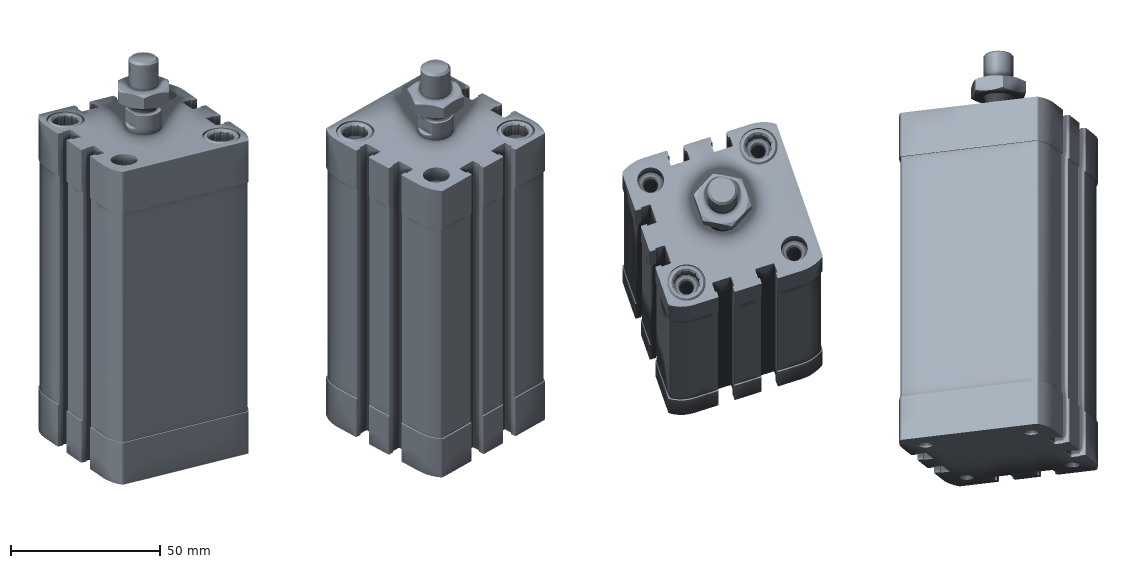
import cadquery as cq
import math

TOTAL_HEIGHT = 140.7
HOUSING_WIDTH = 54.5
HOUSING_HEIGHT = 115.0

CAP_HEIGHT = 15.3
BARREL_INSET = 0.4
CORNER_ARC_RADIUS = 14.0
CORNER_EDGE_FILLET = 1.0
HOLE_OFFSET = 19.0

SLOT_OFFSET = 7.6
SLOT_MOUTH_WIDTH = 5.6
SLOT_INNER_WIDTH = 6.8
SLOT_LIP_DEPTH = 2.1
SLOT_DEPTH = 5.5
SLOT_CORNER_RADIUS = 0.4
SLOT_MOUTH_CHAMFER = 0.21

THROUGH_DIAMETER = 4.9
THREAD_MOUTH_DIAMETER = 6.0
COUNTERBORE_DIAMETER = 9.0
COUNTERBORE_DEPTH = 5.2

COLLAR_DIAMETER = 12.8
COLLAR_CHAMFER = 0.8
SOCKET_DEPTH = 4.8
SOCKET_DIAMETER = 8.6
SOCKET_TIP_DIAMETER = 9.3
SOCKET_MOUTH_DIAMETER = 10.0
SOCKET_SQUARES = 3

ROD_DIAMETER = 12.0
ROD_SHOULDER_HEIGHT = 6.9
ROD_FLATS_WIDTH = 10.0
ROD_FLATS_START = 2.1
ROD_FLATS_RUN_OUT = 0.7
NECK_DIAMETER = 8.2
NECK_FILLET = 0.3
NECK_HEIGHT = 1.3
TAPER_HEIGHT = 2.5
THREAD_DIAMETER = 10.0
THREAD_TIP_DIAMETER = 8.5

NUT_WIDTH = 17.0
NUT_HEIGHT = 5.0
NUT_BASE = HOUSING_HEIGHT + 10.7
NUT_CHAMFER_ANGLE = 25


def block(width, height, base):
    """Square block with shallow arcs at its four upright corners, tangent to the +Y and -Y sides."""
    half = width / 2
    reach = half - HOLE_OFFSET
    arc_centre_y = half - CORNER_ARC_RADIUS
    arc_end_y = arc_centre_y + math.sqrt(CORNER_ARC_RADIUS**2 - reach**2)
    half_turn = math.asin(reach / CORNER_ARC_RADIUS) / 2
    middle_x = HOLE_OFFSET + CORNER_ARC_RADIUS * math.sin(half_turn)
    middle_y = arc_centre_y + CORNER_ARC_RADIUS * math.cos(half_turn)
    return (
        cq.Workplane("XY", origin=(0, 0, base))
        .moveTo(-HOLE_OFFSET, half)
        .lineTo(HOLE_OFFSET, half)
        .threePointArc((middle_x, middle_y), (half, arc_end_y))
        .lineTo(half, -arc_end_y)
        .threePointArc((middle_x, -middle_y), (HOLE_OFFSET, -half))
        .lineTo(-HOLE_OFFSET, -half)
        .threePointArc((-middle_x, -middle_y), (-half, -arc_end_y))
        .lineTo(-half, arc_end_y)
        .threePointArc((-middle_x, middle_y), (-HOLE_OFFSET, half))
        .close()
        .extrude(height)
        .edges("|Z and (<X or >X)")
        .fillet(CORNER_EDGE_FILLET)
    )


def t_slot(offset, side, height, base):
    """Cutter for one T-slot, `offset` along X, whose chamfered mouth opens in the face y = side."""
    floor = HOUSING_WIDTH / 2 - SLOT_DEPTH
    lip = HOUSING_WIDTH / 2 - SLOT_LIP_DEPTH
    mouth = SLOT_MOUTH_WIDTH / 2
    inner = SLOT_INNER_WIDTH / 2
    right_half = [
        (inner, floor),
        (inner, lip),
        (mouth, lip),
        (mouth, side - SLOT_MOUTH_CHAMFER),
        (mouth + SLOT_MOUTH_CHAMFER, side),
    ]
    left_half = [(-x, y) for x, y in reversed(right_half)]
    return (
        cq.Workplane("XY", origin=(offset, 0, base))
        .polyline(right_half + left_half)
        .close()
        .extrude(height)
        .edges("|Z and <Y")
        .fillet(SLOT_CORNER_RADIUS)
    )


def slotted_block(width, height, base):
    """Block with two T-slots in each of its +Y, -X and -Y sides."""
    body = block(width, height, base)
    for side_angle in (0, 90, 180):
        for offset in (-SLOT_OFFSET, SLOT_OFFSET):
            slot = t_slot(offset, width / 2, height, base)
            body = body.cut(slot.rotate((0, 0, 0), (0, 0, 1), side_angle))
    return body


def revolved(points, x=0, y=0):
    """Solid turned about the upright line through (x, y) from (radius, z) points."""
    return (
        cq.Workplane("XZ")
        .polyline(points)
        .close()
        .revolve(360, (0, 0), (0, 1))
        .translate((x, y, 0))
    )


def screw_hole(x, y, floor):
    """Through hole whose mouth, at height `floor`, is countersunk."""
    inner = THROUGH_DIAMETER / 2
    outer = THREAD_MOUTH_DIAMETER / 2
    points = [(0, 0), (inner, 0), (inner, floor - outer + inner), (outer, floor), (0, floor)]
    return revolved(points, x, y)


def counterbore(x, y):
    return (
        cq.Workplane("XY", origin=(x, y, HOUSING_HEIGHT - COUNTERBORE_DEPTH))
        .circle(COUNTERBORE_DIAMETER / 2)
        .extrude(COUNTERBORE_DEPTH)
    )


def collar_groove(x, y):
    """V-groove with a straight outer wall, which leaves a chamfered collar round a socket."""
    radius = COLLAR_DIAMETER / 2
    top = HOUSING_HEIGHT
    points = [(radius - COLLAR_CHAMFER, top), (radius, top), (radius, top - COLLAR_CHAMFER)]
    return revolved(points, x, y)


def serrated_socket(x, y):
    """Twelve-point socket: a round bore, three squares turned 30 degrees apart and a conical mouth."""
    top = HOUSING_HEIGHT
    bore = SOCKET_DIAMETER / 2
    mouth = SOCKET_MOUTH_DIAMETER / 2
    cone_end = top - (mouth - bore)
    floor = top - SOCKET_DEPTH
    socket = revolved([(0, floor), (bore, floor), (bore, cone_end), (mouth, top), (0, top)], x, y)
    square_side = SOCKET_TIP_DIAMETER / math.sqrt(2)
    for i in range(SOCKET_SQUARES):
        square = (
            cq.Workplane("XY", origin=(x, y, floor))
            .transformed(rotate=(0, 0, 45 + i * 90 / SOCKET_SQUARES))
            .rect(square_side, square_side)
            .extrude(SOCKET_DEPTH)
        )
        socket = socket.union(square)
    return socket


def build_housing():
    barrel_height = HOUSING_HEIGHT - 2 * CAP_HEIGHT
    body = (
        slotted_block(HOUSING_WIDTH, CAP_HEIGHT, 0)
        .union(slotted_block(HOUSING_WIDTH - 2 * BARREL_INSET, barrel_height, CAP_HEIGHT))
        .union(slotted_block(HOUSING_WIDTH, CAP_HEIGHT, HOUSING_HEIGHT - CAP_HEIGHT))
    )
    for sign in (-1, 1):
        x = sign * HOLE_OFFSET
        body = body.cut(counterbore(x, -x))
        body = body.cut(screw_hole(x, -x, HOUSING_HEIGHT - COUNTERBORE_DEPTH))
        body = body.cut(collar_groove(x, x))
        body = body.cut(serrated_socket(x, x))
        body = body.cut(screw_hole(x, x, HOUSING_HEIGHT - SOCKET_DEPTH))
    return body


def flat_cutter():
    """Cutter for the wrench flat on the +Y side of the rod, with a sloped run-out below."""
    flat_y = ROD_FLATS_WIDTH / 2
    outer_y = ROD_DIAMETER / 2
    bottom = HOUSING_HEIGHT + ROD_FLATS_START
    top = HOUSING_HEIGHT + ROD_SHOULDER_HEIGHT
    points = [(flat_y, bottom), (outer_y, bottom - ROD_FLATS_RUN_OUT), (outer_y, top), (flat_y, top)]
    return (
        cq.Workplane("YZ")
        .polyline(points)
        .close()
        .extrude(ROD_DIAMETER / 2, both=True)
    )


def build_rod():
    rod_radius = ROD_DIAMETER / 2
    neck_radius = NECK_DIAMETER / 2
    thread_radius = THREAD_DIAMETER / 2
    tip_radius = THREAD_TIP_DIAMETER / 2
    shoulder = HOUSING_HEIGHT + ROD_SHOULDER_HEIGHT
    taper_start = shoulder + NECK_HEIGHT
    turned = (
        cq.Workplane("XZ")
        .moveTo(0, HOUSING_HEIGHT)
        .lineTo(rod_radius, HOUSING_HEIGHT)
        .lineTo(rod_radius, shoulder)
        .lineTo(neck_radius + NECK_FILLET, shoulder)
        .radiusArc((neck_radius, shoulder + NECK_FILLET), NECK_FILLET)
        .lineTo(neck_radius, taper_start)
        .lineTo(thread_radius, taper_start + TAPER_HEIGHT)
        .lineTo(thread_radius, TOTAL_HEIGHT - (thread_radius - tip_radius))
        .lineTo(tip_radius, TOTAL_HEIGHT)
        .lineTo(0, TOTAL_HEIGHT)
        .close()
        .revolve(360, (0, 0), (0, 1))
    )
    flat = flat_cutter()
    return turned.cut(flat).cut(flat.mirror("XZ"))


def build_nut():
    corner_radius = NUT_WIDTH / math.sqrt(3)
    face_radius = NUT_WIDTH / 2
    chamfer = (corner_radius - face_radius) * math.tan(math.radians(NUT_CHAMFER_ANGLE))
    top = NUT_BASE + NUT_HEIGHT
    hexagon = (
        cq.Workplane("XY", origin=(0, 0, NUT_BASE))
        .polygon(6, 2 * corner_radius)
        .extrude(NUT_HEIGHT)
        .rotate((0, 0, 0), (0, 0, 1), 90)
    )
    envelope = revolved([
        (0, NUT_BASE),
        (face_radius, NUT_BASE),
        (corner_radius, NUT_BASE + chamfer),
        (corner_radius, top - chamfer),
        (face_radius, top),
        (0, top),
    ])
    bore = cq.Workplane("XY", origin=(0, 0, NUT_BASE)).circle(THREAD_DIAMETER / 2).extrude(NUT_HEIGHT)
    return hexagon.intersect(envelope).cut(bore)


housing = build_housing()
rod = build_rod()
nut = build_nut()

result = cq.Compound.makeCompound([housing.val(), rod.val(), nut.val()])